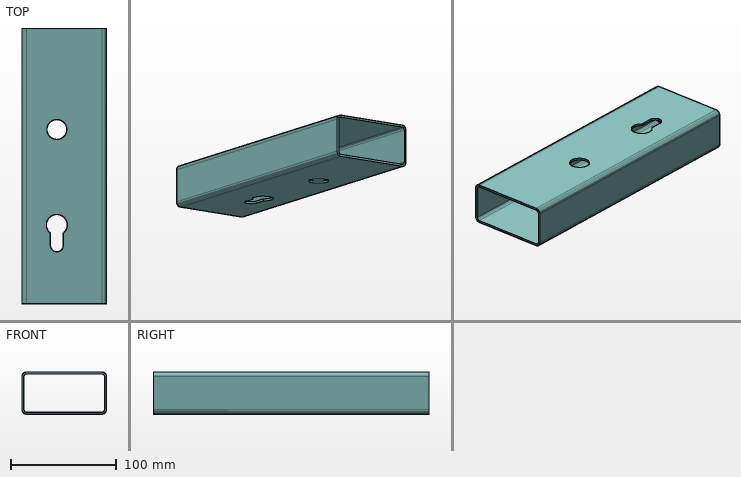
import cadquery as cq

width = 80.0
length = 260.0
height = 40.0
wall = 2.0
outer_radius = 4.5
inner_radius = outer_radius - wall

lock_line_x = -7.0
handle_hole_diameter = 18.5
handle_hole_y = 34.5
handle_to_cylinder = 90.0
cylinder_y = handle_hole_y - handle_to_cylinder
cylinder_diameter = 19.5
cylinder_slot_width = 12.0
cylinder_total_length = 35.0

cut_height = 2 * height


def rounded_bar(bar_width, bar_height, corner_radius):
    """Solid bar along Y with rounded long edges."""
    bar = cq.Workplane("XY").box(bar_width, length, bar_height)
    return bar.edges("|Y").fillet(corner_radius)


def round_cutter(y, diameter):
    """Vertical cylinder on the lock line, passing through both walls."""
    plane = cq.Workplane("XY").center(lock_line_x, y)
    return plane.circle(diameter / 2).extrude(cut_height / 2, both=True)


def make_tube():
    outside = rounded_bar(width, height, outer_radius)
    inside = rounded_bar(width - 2 * wall, height - 2 * wall, inner_radius)
    return outside.cut(inside)


def keyhole_cutter():
    """Profile cylinder opening: a round head with a round-ended slot towards -Y."""
    slot_end_y = cylinder_y + cylinder_diameter / 2 - cylinder_total_length
    slot_arc_y = slot_end_y + cylinder_slot_width / 2
    slot_length = cylinder_y - slot_arc_y
    slot_middle_y = (cylinder_y + slot_arc_y) / 2

    head = round_cutter(cylinder_y, cylinder_diameter)
    slot_end = round_cutter(slot_arc_y, cylinder_slot_width)
    slot = cq.Workplane("XY").box(cylinder_slot_width, slot_length, cut_height)
    slot = slot.translate((lock_line_x, slot_middle_y, 0))
    return head.union(slot).union(slot_end)


result = make_tube()
result = result.cut(round_cutter(handle_hole_y, handle_hole_diameter))
result = result.cut(keyhole_cutter())